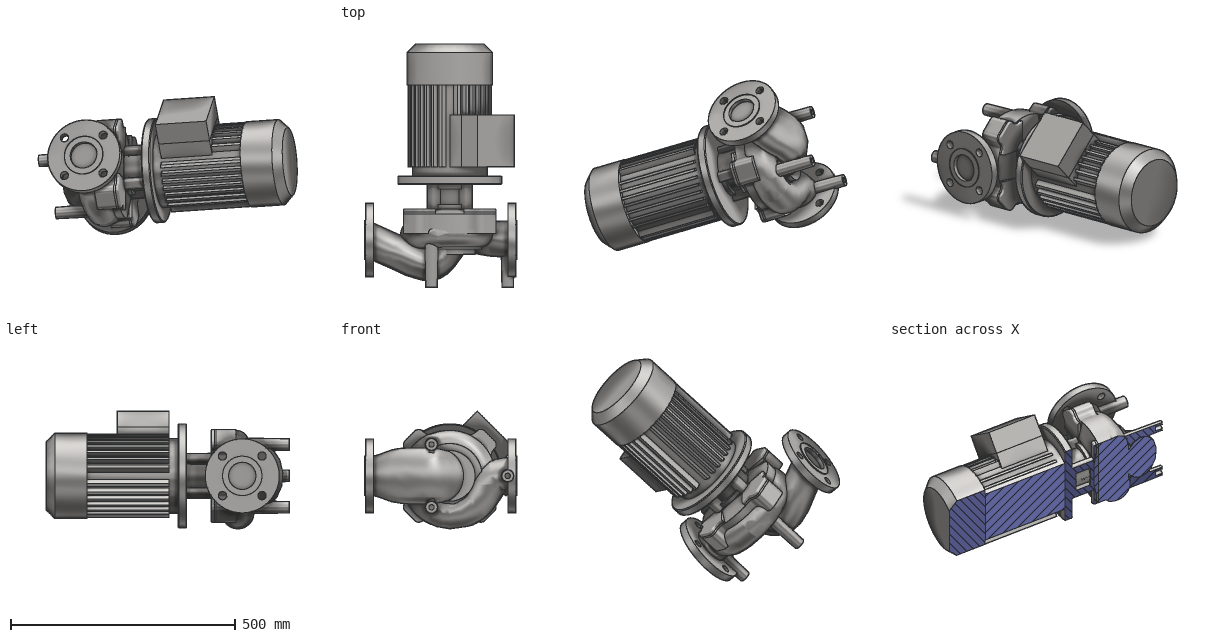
import cadquery as cq
import math

DIAGONALS = (45, 135, 225, 315)
SIDES = (0, 90, 180, 270)
Y_AXIS = cq.Vector(0, 1, 0)
Z_AXIS = cq.Vector(0, 0, 1)

FEET_END = -105.5
BOSS_FACE = -32.0
EYE_FACE = -19.5
VOLUTE_TOP = 14.0
CASING_TOP = 58.0
COVER_TOP = 62.5
LANTERN_BASE_TOP = 69.5
MOUNT_START = 124.0
MOUNT_END = 143.5
FINS_START = 163.0
BOX_END = 279.0
HOOD_START = 346.0
MOTOR_END = 437.5

INLET_FACE = -190.0
OUTLET_FACE = 150.0
FLANGE_RADIUS = 82.5
FLANGE_THICKNESS = 18.0
RAISED_RADIUS = 44.0
RAISED_HEIGHT = 2.0
FLANGE_DEPTH = FLANGE_THICKNESS + RAISED_HEIGHT
PORT_RADIUS = 30.5
PORT_DEPTH = 10.0
FLANGE_BOLT_CIRCLE = 62.5
FLANGE_HOLE_RADIUS = 9.0
FLANGE_HOLE_COUNT = 4
FIRST_HOLE_ANGLE = 45

TUBE_RADIUS_TOP = 29.5
TUBE_RADIUS_BOTTOM = 36.0
SPIRAL_RADIUS_TOP = 72.0
SPIRAL_RADIUS_BOTTOM = 82.5
SPIRAL_Y_BOTTOM = 10.0
RING_ANGLE = 110
EYE_RADIUS = SPIRAL_RADIUS_TOP
BOSS_RADIUS = 56.5
SECTIONS_PER_TUBE = 7

HUB_RADIUS = SPIRAL_RADIUS_TOP + TUBE_RADIUS_TOP
LOBE_REACH = 126.0
LOBE_WIDTH = 56.5
LOBE_CORNER = 13.0
LOBE_ROOT = 16.0
ROOT_TOLERANCE = 0.5
LOBE_GAP = 63.0

OUTLET_RADIUS = 40.5
OUTLET_Y = 2.0
OUTLET_BEND = (69.5, 6.0, -48.0)
SUCTION_HALF_DEPTH = 38.5
SUCTION_SLOPE_WIDTHS = ((0, 39.0), (0.2, 45.0), (0.45, 56.0), (0.7, 62.0), (1, 62.5))
SUCTION_ELBOW_WIDTHS = ((0.25, 62.5), (0.5, 61.0), (0.75, 57.5), (1, 52.5))
SUCTION_SLOPE = 24
SUCTION_CLIP_RADIUS = 108.5
ELBOW_RADIUS = 43.5
ELBOW_X = -52.0
ELBOW_Y = -9.0

FOOT_X = -40.5
FOOT_Z = 70.0
OUTLET_FOOT_X = 129.0
OUTLET_FOOT_ROOT = -32.5
FOOT_END_RADIUS = 13.0
FOOT_ROOT_RADIUS = 14.5
FOOT_HOLE_RADIUS = 6.0
FOOT_HOLE_DEPTH = 16.5
FOOT_RIB_WIDTH = 11.0
FOOT_RIB_INNER_Z = 47.0
FOOT_RIB_END = -73.5

BASE_EDGE_ROUND = 3.0
BARREL_RADIUS = 50.5
RECESS_RADIUS = 42.0
RECESS_WIDTH = 2 * RECESS_RADIUS
RECESS_START = 79.0
RECESS_END = 114.0
LEG_REACH = 63.0
LEG_WIDTH = 23.0
LEG_ROUND = 5.5
MOUNT_RADIUS = 116.0
MOUNT_CHAMFER = 2.0

CORE_RADIUS = 83.5
FIN_RADIUS = 94.5
FIN_THICKNESS = 5.5
FIN_PITCH = 17.0
FINS_PER_SIDE = 3
FIN_ROOT = 54.5
HOOD_RADIUS = 95.5
HOOD_CHAMFER = 19.5

BOX_ANGLE = 45
BOX_WIDTH = 117.5
BOX_SEAT = 96.0
BOX_REACH = 145.5


def disc(radius, start, end):
    """Cylinder about the shaft axis from y = start to y = end."""
    return cq.Workplane("XZ", origin=(0, start, 0)).circle(radius).extrude(start - end)


def radial_block(reach, width, start, end, inner=0.0, offset=0.0):
    """Block along +X from x = inner to x = reach, centred on z = offset."""
    return (
        cq.Workplane("XZ", origin=(0, start, 0))
        .center((inner + reach) / 2, offset)
        .rect(reach - inner, width)
        .extrude(start - end)
    )


def turned(shape, angle):
    """Turn a shape about the shaft axis, from +X towards +Z for a positive angle."""
    return shape.rotate((0, 0, 0), (0, -1, 0), angle)


def lobed_plate(start, end):
    """Round plate with four rounded lobes on the diagonals."""
    lobe = radial_block(LOBE_REACH, LOBE_WIDTH, start, end).edges("|Y and >X").fillet(LOBE_CORNER)
    plate = disc(HUB_RADIUS, start, end)
    for angle in DIAGONALS:
        plate = plate.union(turned(lobe, angle))
    root_edges = [
        edge
        for edge in plate.edges("|Y").vals()
        if math.hypot(edge.Center().x, edge.Center().z) < HUB_RADIUS + ROOT_TOLERANCE
    ]
    return plate.newObject(root_edges).fillet(LOBE_ROOT)




def pipe_flange(face, outward):
    """Flange with a raised face at x = face, its outside pointing along outward (+1 or -1)."""
    back = face - outward * FLANGE_DEPTH
    return (
        cq.Workplane("YZ", origin=(back, 0, 0))
        .circle(FLANGE_RADIUS)
        .extrude(outward * FLANGE_THICKNESS)
        .union(
            cq.Workplane("YZ", origin=(back, 0, 0))
            .circle(RAISED_RADIUS)
            .extrude(outward * FLANGE_DEPTH)
        )
    )


def flange_cuts(face, outward):
    """Port recess and the four bolt holes of one pipe flange."""
    port = cq.Workplane("YZ", origin=(face, 0, 0)).circle(PORT_RADIUS).extrude(-outward * PORT_DEPTH)
    holes = (
        cq.Workplane("YZ", origin=(face, 0, 0))
        .polarArray(FLANGE_BOLT_CIRCLE, FIRST_HOLE_ANGLE, 360, FLANGE_HOLE_COUNT)
        .circle(FLANGE_HOLE_RADIUS)
        .extrude(-outward * FLANGE_DEPTH)
    )
    return port.union(holes)


def blend(first, last, fraction):
    """Value part of the way from first to last."""
    return first + (last - first) * fraction


def tube_fractions():
    """Evenly spaced places of the sections along a tube, from 0 to 1."""
    return [index / (SECTIONS_PER_TUBE - 1) for index in range(SECTIONS_PER_TUBE)]


def section_wire(centre, direction, across, half_width, half_depth):
    """Elliptical section of a pipe that runs along direction; half_width is measured along across."""
    plane = cq.Plane(origin=centre, xDir=across, normal=direction)
    return cq.Workplane(plane).ellipse(half_width, half_depth).wires().val()


def volute_ring():
    """Even part of the volute, from its top round the right side to inside the outlet pipe."""
    return (
        cq.Workplane("YZ")
        .center(VOLUTE_TOP, SPIRAL_RADIUS_TOP)
        .circle(TUBE_RADIUS_TOP)
        .revolve(RING_ANGLE, (0, -SPIRAL_RADIUS_TOP), (1, -SPIRAL_RADIUS_TOP))
    )


def volute_spiral():
    """Tube that grows around the left side of the casing, from its top to its bottom."""
    sections = []
    for fraction in tube_fractions():
        angle = math.radians(90 + 180 * fraction)
        radius = blend(SPIRAL_RADIUS_TOP, SPIRAL_RADIUS_BOTTOM, fraction)
        tube_radius = blend(TUBE_RADIUS_TOP, TUBE_RADIUS_BOTTOM, fraction)
        y = blend(VOLUTE_TOP, SPIRAL_Y_BOTTOM, fraction)
        centre = cq.Vector(radius * math.cos(angle), y, radius * math.sin(angle))
        direction = cq.Vector(-math.sin(angle), 0, math.cos(angle))
        sections.append(section_wire(centre, direction, Y_AXIS, tube_radius, tube_radius))
    return cq.Workplane(cq.Solid.makeLoft(sections))


def outlet_pipe():
    """S-shaped pipe from the bottom of the volute to the outlet flange."""
    points = [
        cq.Vector(0, SPIRAL_Y_BOTTOM, -SPIRAL_RADIUS_BOTTOM),
        cq.Vector(OUTLET_BEND),
        cq.Vector(OUTLET_FACE - FLANGE_DEPTH, OUTLET_Y, 0),
    ]
    path = cq.Edge.makeSpline(points, tangents=[cq.Vector(1, 0, 0), cq.Vector(1, 0, 0)])
    sections = []
    for fraction in tube_fractions():
        radius = blend(TUBE_RADIUS_BOTTOM, OUTLET_RADIUS, fraction)
        centre = path.positionAt(fraction)
        sections.append(section_wire(centre, path.tangentAt(fraction), Z_AXIS, radius, radius))
    return cq.Workplane(cq.Solid.makeLoft(sections))


def elbow_point(angle):
    """Point on the centre line of the suction elbow, at an angle in degrees from +X."""
    return cq.Vector(
        ELBOW_X + ELBOW_RADIUS * math.cos(math.radians(angle)),
        ELBOW_Y + ELBOW_RADIUS * math.sin(math.radians(angle)),
        0,
    )


def suction_pipe():
    """Pipe that slopes from the inlet flange, widens, and turns through an elbow into the eye."""
    bend_angle = -90 - SUCTION_SLOPE
    bend_start = elbow_point(bend_angle)
    slope = math.radians(SUCTION_SLOPE)
    along = cq.Vector(math.cos(slope), -math.sin(slope), 0)
    length = (bend_start.x - INLET_FACE) / math.cos(slope)

    sections = []
    for fraction, half_width in SUCTION_SLOPE_WIDTHS:
        centre = bend_start - along * (length * (1 - fraction))
        sections.append(section_wire(centre, along, Z_AXIS, half_width, SUCTION_HALF_DEPTH))
    for fraction, half_width in SUCTION_ELBOW_WIDTHS:
        angle = bend_angle * (1 - fraction)
        turn = math.radians(angle)
        direction = cq.Vector(-math.sin(turn), math.cos(turn), 0)
        sections.append(section_wire(elbow_point(angle), direction, Z_AXIS, half_width, SUCTION_HALF_DEPTH))

    flange_back = INLET_FACE + FLANGE_DEPTH
    beyond_flange = (
        cq.Workplane("YZ", origin=(flange_back, 0, 0)).circle(SUCTION_CLIP_RADIUS).extrude(-2 * flange_back)
    )
    return cq.Workplane(cq.Solid.makeLoft(sections)).intersect(beyond_flange)


def build_casing():
    """Solid casing with its volute, pipes and drilled flanges."""
    casing = lobed_plate(VOLUTE_TOP, CASING_TOP)
    casing = casing.union(disc(EYE_RADIUS, EYE_FACE, CASING_TOP))
    casing = casing.union(disc(BOSS_RADIUS, BOSS_FACE, VOLUTE_TOP))
    for part in (volute_ring(), volute_spiral(), outlet_pipe(), suction_pipe()):
        casing = casing.union(part)
    for face, outward in ((INLET_FACE, -1), (OUTLET_FACE, 1)):
        casing = casing.union(pipe_flange(face, outward))
        casing = casing.cut(flange_cuts(face, outward))
    return casing




def build_foot(x, root_y, z, casing):
    """Tapered foot that stands on the casing, with a blind hole in its end.

    A foot above or below the suction pipe also has a rib that joins it to the pipe.
    """
    foot = (
        cq.Workplane("XZ", origin=(x, root_y, z))
        .circle(FOOT_ROOT_RADIUS)
        .workplane(offset=root_y - FEET_END)
        .circle(FOOT_END_RADIUS)
        .loft()
    )
    hole = (
        cq.Workplane("XZ", origin=(x, FEET_END, z)).circle(FOOT_HOLE_RADIUS).extrude(-FOOT_HOLE_DEPTH)
    )
    if z:
        rib_length = abs(z) - FOOT_RIB_INNER_Z
        rib = cq.Workplane("XY").box(FOOT_RIB_WIDTH, -FOOT_RIB_END, rib_length).translate(
            (x, FOOT_RIB_END / 2, math.copysign(FOOT_RIB_INNER_Z + rib_length / 2, z))
        )
        foot = foot.union(rib)
    return foot.cut(hole).cut(casing)




def cover_dome():
    """Cone that rises from the casing rim to the foot of the lantern barrel."""
    height = LANTERN_BASE_TOP - CASING_TOP
    base = cq.Vector(0, CASING_TOP, 0)
    return cq.Workplane(cq.Solid.makeCone(HUB_RADIUS, BARREL_RADIUS, height, base, Y_AXIS))


def lobes_only(plate, start, end):
    """Cut a lobed plate away between its lobes, outside the lantern barrel."""
    gap = radial_block(LOBE_REACH, LOBE_GAP, start, end, BARREL_RADIUS)
    for angle in SIDES:
        plate = plate.cut(turned(gap, angle))
    return plate


def build_cover():
    """Thin lobes around the domed middle that closes the casing."""
    plate = lobed_plate(CASING_TOP, COVER_TOP)
    return lobes_only(plate, CASING_TOP, COVER_TOP).union(cover_dome())


def build_lantern():
    """Base lobes, recessed barrel, four diagonal legs and the round motor mount."""
    plate = lobed_plate(COVER_TOP, LANTERN_BASE_TOP).faces(">Y").edges().fillet(BASE_EDGE_ROUND)
    base = lobes_only(plate, COVER_TOP, LANTERN_BASE_TOP)
    barrel = disc(BARREL_RADIUS, LANTERN_BASE_TOP, MOUNT_END)
    window = radial_block(BARREL_RADIUS, RECESS_WIDTH, RECESS_START, RECESS_END)
    window = window.cut(disc(RECESS_RADIUS, RECESS_START, RECESS_END))
    for angle in (90, 270):
        barrel = barrel.cut(turned(window, angle))
    leg = radial_block(LEG_REACH, LEG_WIDTH, COVER_TOP, MOUNT_END).edges("|Y and >X").fillet(LEG_ROUND)
    mount = disc(MOUNT_RADIUS, MOUNT_START, MOUNT_END).edges().chamfer(MOUNT_CHAMFER)
    lantern = base.union(barrel).union(mount)
    for angle in DIAGONALS:
        lantern = lantern.union(turned(leg, angle))
    return lantern.cut(cover_dome())




def box_block(inner, reach):
    """Block of the terminal box's width and length along its diagonal, from inner to reach."""
    return turned(radial_block(reach, BOX_WIDTH, FINS_START, BOX_END, inner), BOX_ANGLE)


def build_box_base():
    """Pad under the terminal box, fitted to the round motor core."""
    return box_block(0, BOX_SEAT).cut(disc(CORE_RADIUS, FINS_START, BOX_END))


def build_motor():
    """Finned motor body; each quarter carries parallel fins, cleared where the box base sits."""
    bundle = cq.Workplane("XY")
    for step in range(-FINS_PER_SIDE, FINS_PER_SIDE + 1):
        fin = radial_block(FIN_RADIUS, FIN_THICKNESS, FINS_START, HOOD_START, FIN_ROOT, step * FIN_PITCH)
        bundle = bundle.add(fin.intersect(disc(FIN_RADIUS, FINS_START, HOOD_START)))
    motor = disc(CORE_RADIUS, MOUNT_END, HOOD_START)
    for angle in DIAGONALS:
        motor = motor.union(turned(bundle, angle))
    return motor.cut(build_box_base())


def build_hood():
    """Fan hood with a bevelled end."""
    return disc(HOOD_RADIUS, HOOD_START, MOTOR_END).faces(">Y").chamfer(HOOD_CHAMFER)


casing = build_casing()
feet = [
    build_foot(x, root_y, z, casing)
    for x, root_y, z in (
        (FOOT_X, 0, FOOT_Z),
        (FOOT_X, 0, -FOOT_Z),
        (OUTLET_FOOT_X, OUTLET_FOOT_ROOT, 0),
    )
]
cover = build_cover()
lantern = build_lantern()
motor = build_motor()
hood = build_hood()
box_base = build_box_base()
terminal_box = box_block(BOX_SEAT, BOX_REACH)

bodies = [casing, *feet, cover, lantern, motor, hood, box_base, terminal_box]
result = cq.Compound.makeCompound([body.solids().val() for body in bodies])